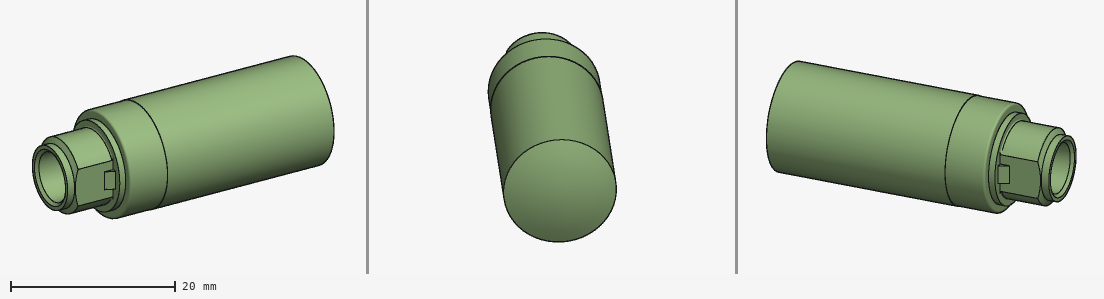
import cadquery as cq
import math

total_length = 38.0
body_diameter = 13.8

dome_height = 1.55

collar_diameter = 13.7
collar_length = 5.3
collar_fillet = 0.3

flange_diameter = 11.5
flange_thickness = 0.85

neck_diameter = 9.7
neck_root_fillet = 0.15
neck_cone_angle = 30.0
flats_width = 8.35
spigot_and_neck_length = 6.45

spigot_diameter = 8.2
spigot_length = 1.0

bore_diameter = 6.4
mouth_chamfer = 0.4

key_width = 2.4
key_length = 1.25
key_span = 9.5

body_radius = body_diameter / 2
collar_radius = collar_diameter / 2
flange_radius = flange_diameter / 2
neck_radius = neck_diameter / 2
spigot_radius = spigot_diameter / 2
bore_radius = bore_diameter / 2
mouth_radius = bore_radius + mouth_chamfer

fillet_middle = 1 - math.sqrt(0.5)

flange_face = spigot_and_neck_length
collar_face = flange_face + flange_thickness
body_start = collar_face + collar_length
dome_start = total_length - dome_height
neck_cone_length = (neck_radius - spigot_radius) * math.tan(math.radians(neck_cone_angle))
neck_end = spigot_length + neck_cone_length
bore_depth = flange_face


def revolve_about_y(profile):
    """Turn a closed XY profile fully about the Y axis."""
    return profile.close().revolve(360, (0, 0, 0), (0, 1, 0))


def make_body():
    """Body with a spherical dome, stepping down to the collar and the flange."""
    dome_radius = (body_radius**2 + dome_height**2) / (2 * dome_height)
    half_angle = math.asin(body_radius / dome_radius) / 2
    dome_center = total_length - dome_radius
    dome_middle = (
        dome_radius * math.sin(half_angle),
        dome_center + dome_radius * math.cos(half_angle),
    )
    corner = collar_fillet * fillet_middle
    profile = (
        cq.Workplane("XY")
        .moveTo(0, flange_face)
        .lineTo(flange_radius, flange_face)
        .lineTo(flange_radius, collar_face)
        .lineTo(collar_radius - collar_fillet, collar_face)
        .threePointArc(
            (collar_radius - corner, collar_face + corner),
            (collar_radius, collar_face + collar_fillet),
        )
        .lineTo(collar_radius, body_start)
        .lineTo(body_radius, body_start)
        .lineTo(body_radius, dome_start)
        .threePointArc(dome_middle, (0, total_length))
    )
    return revolve_about_y(profile)


def make_neck():
    """Neck with a filleted root and a conical end, cut by two flats facing -X and +X."""
    root_radius = neck_radius + neck_root_fillet
    corner = neck_root_fillet * fillet_middle
    profile = (
        cq.Workplane("XY")
        .moveTo(0, spigot_length)
        .lineTo(spigot_radius, spigot_length)
        .lineTo(neck_radius, neck_end)
        .lineTo(neck_radius, flange_face - neck_root_fillet)
        .threePointArc(
            (neck_radius + corner, flange_face - corner),
            (root_radius, flange_face),
        )
        .lineTo(root_radius, collar_face)
        .lineTo(0, collar_face)
    )
    between_flats = cq.Workplane("XY").box(flats_width, 2 * collar_face, 2 * root_radius)
    return revolve_about_y(profile).intersect(between_flats)


def make_spigot():
    """Plain cylinder at the tip, reaching into the neck."""
    profile = (
        cq.Workplane("XY")
        .lineTo(spigot_radius, 0)
        .lineTo(spigot_radius, neck_end)
        .lineTo(0, neck_end)
    )
    return revolve_about_y(profile)


def make_keys():
    """Pair of wedges joined through the neck, tapering from the flange face to the flats."""
    tip = flange_face - key_length
    return (
        cq.Workplane("XY")
        .moveTo(-key_span / 2, flange_face)
        .lineTo(key_span / 2, flange_face)
        .lineTo(flats_width / 2, tip)
        .lineTo(-flats_width / 2, tip)
        .close()
        .extrude(key_width / 2, both=True)
    )


def make_bore():
    """Blind bore from the tip, with its mouth chamfer."""
    profile = (
        cq.Workplane("XY")
        .lineTo(mouth_radius, 0)
        .lineTo(bore_radius, mouth_chamfer)
        .lineTo(bore_radius, bore_depth)
        .lineTo(0, bore_depth)
    )
    return revolve_about_y(profile)


outside = make_body().union(make_neck()).union(make_spigot()).union(make_keys())
result = outside.cut(make_bore())